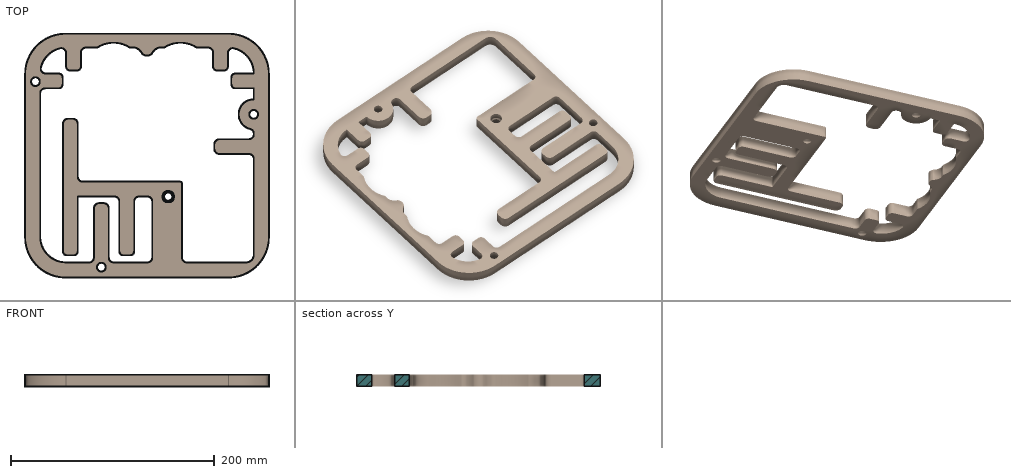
import cadquery as cq

size = 240.0
thickness = 12.0
half = size / 2
outer_radius = 40.0

wall = 15.0
inner = half - wall
wall_middle = half - wall / 2
top_edge_y = 106.0
inner_radius = 25.2
small_corner_radius = 7.5
corner_center_x = inner - inner_radius
corner_center_y = top_edge_y - inner_radius

bar_width = 15.0
half_bar = bar_width / 2
edge_radius = 4.3
long_bar_edge_radius = 5.5
root_radius = 4.5

top_tab_tip = 83.5
tab_outer_side = corner_center_x
tab_inner_side = tab_outer_side - bar_width
side_tab_tip = 82.8
side_tab_top = corner_center_y
side_tab_bottom = side_tab_top - bar_width

right_tab_y = 9.0
right_tab_tip = 66.0
right_tab_bottom = right_tab_y - half_bar
right_tab_top = right_tab_y + half_bar

tall_bar_x = -75.4
tall_bar_top = 36.5
comb_bottom = -98.2
bridge_top = -25.5
bridge_bottom = bridge_top - bar_width
up_finger_x = -45.0
up_finger_top = -46.5
down_finger_x = -20.0
block_left = 5.0
block_right = 34.5
block_corner_radius = 2.5

scallop_x = 33.0
scallop_half_chord = 16.0
scallop_crest_y = 111.0
nose_tip_y = 98.2
nose_half_width = 4.8
nose_side_y = 100.0
nose_root_x = 11.8
nose_flank_x = 7.7
nose_flank_y = 104.0

hole_diameter = 8.5
boss_radius = 15.0
boss_y = 40.5
hole_inset = 10.3
left_hole_y = 72.7
screw_x = 21.0
screw_hole_diameter = 8.0
screw_head_diameter = 11.5
screw_head_depth = 6.0


def block(x_min, x_max, y_min, y_max):
    """Full-thickness rectangular block between the given limits."""
    base = cq.Workplane("XY", origin=(x_min, y_min, 0))
    return base.box(x_max - x_min, y_max - y_min, thickness, centered=False)


def round_corners(body, points, radius):
    """Round the upright edges that stand at the given XY points."""
    for x, y in points:
        edge = cq.selectors.NearestToPointSelector((x, y, thickness / 2))
        body = body.edges("|Z").edges(edge).fillet(radius)
    return body


def drill(body, x, y, diameter):
    """Cut a round hole through the plate."""
    cutter = cq.Workplane("XY").center(x, y).circle(diameter / 2).extrude(thickness)
    return body.cut(cutter)


def make_frame():
    """Rounded square plate with a window; one window corner is tight."""
    plate = block(-half, half, -half, half).edges("|Z").fillet(outer_radius)
    window = block(-inner, inner, -inner, top_edge_y)
    window = round_corners(window, [(inner, -inner)], small_corner_radius)
    large_corners = [(-inner, -inner), (-inner, top_edge_y), (inner, top_edge_y)]
    window = round_corners(window, large_corners, inner_radius)
    return plate.cut(window)


def make_scallops():
    """Cutter for the wavy stretch of the top edge between the upper tabs."""
    left_start = -scallop_x - scallop_half_chord
    left_end = -scallop_x + scallop_half_chord
    cutter_bottom = top_tab_tip
    return (
        cq.Workplane("XY")
        .moveTo(-tab_inner_side, cutter_bottom)
        .lineTo(-tab_inner_side, top_edge_y)
        .lineTo(left_start, top_edge_y)
        .threePointArc((-scallop_x, scallop_crest_y), (left_end, top_edge_y))
        .lineTo(-nose_root_x, top_edge_y)
        .threePointArc((-nose_flank_x, nose_flank_y), (-nose_half_width, nose_side_y))
        .threePointArc((0, nose_tip_y), (nose_half_width, nose_side_y))
        .threePointArc((nose_flank_x, nose_flank_y), (nose_root_x, top_edge_y))
        .lineTo(-left_end, top_edge_y)
        .threePointArc((scallop_x, scallop_crest_y), (-left_start, top_edge_y))
        .lineTo(tab_inner_side, top_edge_y)
        .lineTo(tab_inner_side, cutter_bottom)
        .close()
        .extrude(thickness)
    )


def make_corner_tabs():
    """Two tabs hanging from the top wall and two reaching in from the side walls."""
    tabs = block(tab_inner_side, tab_outer_side, top_tab_tip, wall_middle)
    tabs = tabs.union(block(side_tab_tip, wall_middle, side_tab_bottom, side_tab_top))
    return tabs.union(tabs.mirror("YZ"))


def make_right_wall_features():
    """Round boss and single tab on the right wall."""
    boss = cq.Workplane("XY").center(inner, boss_y).circle(boss_radius).extrude(thickness)
    return boss.union(block(right_tab_tip, wall_middle, right_tab_bottom, right_tab_top))


def make_comb():
    """Block rising from the bottom wall, with a bridge to the tall bar, and two fingers."""
    comb = block(block_left, block_right, -wall_middle, bridge_top)
    comb = comb.union(block(tall_bar_x, block_right, bridge_bottom, bridge_top))
    bars = [
        (tall_bar_x, comb_bottom, tall_bar_top),
        (down_finger_x, comb_bottom, bridge_top),
        (up_finger_x, -wall_middle, up_finger_top),
    ]
    for x, y_min, y_max in bars:
        comb = comb.union(block(x - half_bar, x + half_bar, y_min, y_max))
    return comb


result = make_frame()
result = result.union(block(-tab_inner_side, tab_inner_side, nose_tip_y, wall_middle))
result = result.cut(make_scallops())
result = result.union(make_corner_tabs())
result = result.union(make_right_wall_features())
result = result.union(make_comb())

free_ends = []
long_bar_ends = [(right_tab_tip, right_tab_bottom), (right_tab_tip, right_tab_top)]
for side in (-1, 1):
    free_ends += [
        (side * tab_inner_side, top_tab_tip),
        (side * tab_outer_side, top_tab_tip),
        (side * side_tab_tip, side_tab_bottom),
        (side * side_tab_tip, side_tab_top),
        (tall_bar_x + side * half_bar, comb_bottom),
        (down_finger_x + side * half_bar, comb_bottom),
    ]
    long_bar_ends += [
        (tall_bar_x + side * half_bar, tall_bar_top),
        (up_finger_x + side * half_bar, up_finger_top),
    ]
result = round_corners(result, free_ends, edge_radius)
result = round_corners(result, long_bar_ends, long_bar_edge_radius)

roots = [
    (-tab_inner_side, top_edge_y),
    (tab_inner_side, top_edge_y),
    (-tab_outer_side, top_edge_y),
    (tab_outer_side, top_edge_y),
    (-inner, side_tab_top),
    (-inner, side_tab_bottom),
    (inner, boss_y - boss_radius),
    (inner, right_tab_top),
    (inner, right_tab_bottom),
    (tall_bar_x + half_bar, bridge_top),
    (down_finger_x - half_bar, bridge_bottom),
    (down_finger_x + half_bar, bridge_bottom),
    (block_left, bridge_bottom),
    (block_left, -inner),
    (block_right, -inner),
    (up_finger_x - half_bar, -inner),
    (up_finger_x + half_bar, -inner),
]
result = round_corners(result, roots, root_radius)
result = round_corners(result, [(block_right, bridge_top)], block_corner_radius)

for x, y in [(-half + hole_inset, left_hole_y), (up_finger_x, -half + hole_inset), (inner, boss_y)]:
    result = drill(result, x, y, hole_diameter)

result = drill(result, screw_x, bridge_bottom, screw_hole_diameter)
screw_head = cq.Workplane("XY", origin=(screw_x, bridge_bottom, thickness - screw_head_depth))
result = result.cut(screw_head.circle(screw_head_diameter / 2).extrude(screw_head_depth))